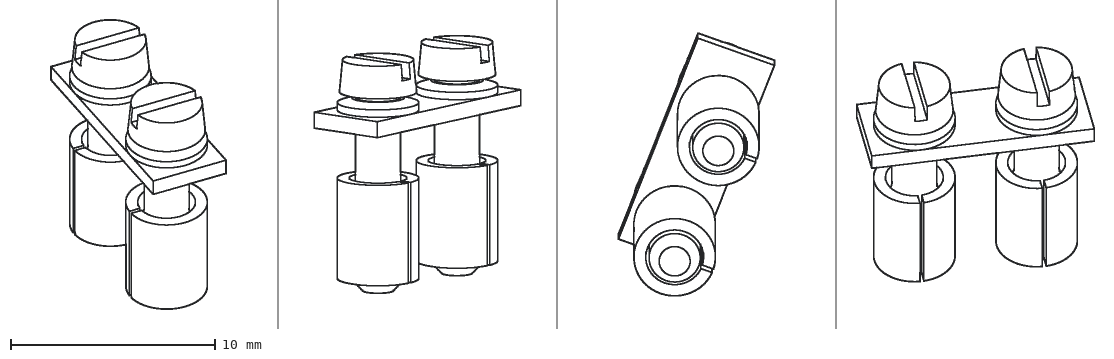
import cadquery as cq

PLATE_LENGTH = 11.1
PLATE_WIDTH = 4.0
PLATE_THICKNESS = 0.79
SCREW_PITCH = 6.1

SLEEVE_RADIUS = PLATE_WIDTH / 2
SLEEVE_BORE_RADIUS = 1.41
SLEEVE_LENGTH = 5.0
SLIT_WIDTH = 0.2
SLEEVE_TO_PLATE = 2.6

HEAD_TOP_RADIUS = 1.75
HEAD_BOTTOM_RADIUS = 1.9
HEAD_HEIGHT = 1.6
DRIVER_SLOT_WIDTH = 0.61
DRIVER_SLOT_DEPTH = 0.79
NECK_FLARE_RADIUS = 1.14
NECK_FLARE_HEIGHT = 0.07
SHANK_RADIUS = 1.1
COLLAR_RADIUS = SLEEVE_RADIUS
COLLAR_TOP_RADIUS = 1.29
COLLAR_RIM_HEIGHT = 0.37
COLLAR_CONE_HEIGHT = 0.24
THREAD_RADIUS = 1.25
THREAD_RUNOUT_START = 0.51
THREAD_RUNOUT_END = 1.12
TIP_RADIUS = 0.76
TIP_CONE_HEIGHT = 0.53
TIP_PROJECTION = 0.61

SCREW_TOP = 11.5
SLEEVE_BOTTOM = TIP_PROJECTION
SLEEVE_TOP = SLEEVE_BOTTOM + SLEEVE_LENGTH
PLATE_BOTTOM = SLEEVE_TOP + SLEEVE_TO_PLATE
PLATE_TOP = PLATE_BOTTOM + PLATE_THICKNESS
COLLAR_RIM_TOP = PLATE_TOP + COLLAR_RIM_HEIGHT
COLLAR_TOP = COLLAR_RIM_TOP + COLLAR_CONE_HEIGHT
HEAD_BOTTOM = SCREW_TOP - HEAD_HEIGHT

SCREW_POSITIONS = [-SCREW_PITCH / 2, SCREW_PITCH / 2]


def make_plate():
    """Flat bar with a close-fitting hole for each screw shank."""
    bar = cq.Workplane("XY").workplane(offset=PLATE_BOTTOM).rect(PLATE_LENGTH, PLATE_WIDTH)
    bar = bar.extrude(PLATE_THICKNESS)
    hole_centres = [(x, 0) for x in SCREW_POSITIONS]
    return bar.faces(">Z").workplane(origin=(0, 0, PLATE_TOP)).pushPoints(hole_centres).hole(2 * SHANK_RADIUS)


def make_screw(x):
    """Turned screw with a collar resting on the plate and a slot across its head."""
    half_profile = [
        (0, 0),
        (TIP_RADIUS, 0),
        (THREAD_RADIUS, TIP_CONE_HEIGHT),
        (THREAD_RADIUS, SLEEVE_TOP - THREAD_RUNOUT_END),
        (SHANK_RADIUS, SLEEVE_TOP - THREAD_RUNOUT_START),
        (SHANK_RADIUS, PLATE_TOP),
        (COLLAR_RADIUS, PLATE_TOP),
        (COLLAR_RADIUS, COLLAR_RIM_TOP),
        (COLLAR_TOP_RADIUS, COLLAR_TOP),
        (SHANK_RADIUS, COLLAR_TOP),
        (SHANK_RADIUS, HEAD_BOTTOM - NECK_FLARE_HEIGHT),
        (NECK_FLARE_RADIUS, HEAD_BOTTOM),
        (HEAD_BOTTOM_RADIUS, HEAD_BOTTOM),
        (HEAD_TOP_RADIUS, SCREW_TOP),
        (0, SCREW_TOP),
    ]
    turned = cq.Workplane("XZ").polyline(half_profile).close().revolve(360, (0, 0, 0), (0, 1, 0))
    slot = cq.Workplane("XY").workplane(offset=SCREW_TOP - DRIVER_SLOT_DEPTH)
    slot = slot.rect(DRIVER_SLOT_WIDTH, 2 * HEAD_BOTTOM_RADIUS).extrude(DRIVER_SLOT_DEPTH)
    return turned.cut(slot).translate((x, 0, 0))


def make_sleeve(x):
    """Tube with a narrow slit along its whole length on the -Y side."""
    base = cq.Workplane("XY").workplane(offset=SLEEVE_BOTTOM)
    tube = base.circle(SLEEVE_RADIUS).circle(SLEEVE_BORE_RADIUS).extrude(SLEEVE_LENGTH)
    slit = base.center(0, -SLEEVE_RADIUS / 2).rect(SLIT_WIDTH, SLEEVE_RADIUS).extrude(SLEEVE_LENGTH)
    return tube.cut(slit).translate((x, 0, 0))


plate = make_plate()
screws = [make_screw(x) for x in SCREW_POSITIONS]
sleeves = [make_sleeve(x) for x in SCREW_POSITIONS]

result = cq.Compound.makeCompound([
    plate.val(),
    *[screw.val() for screw in screws],
    *[sleeve.val() for sleeve in sleeves],
])